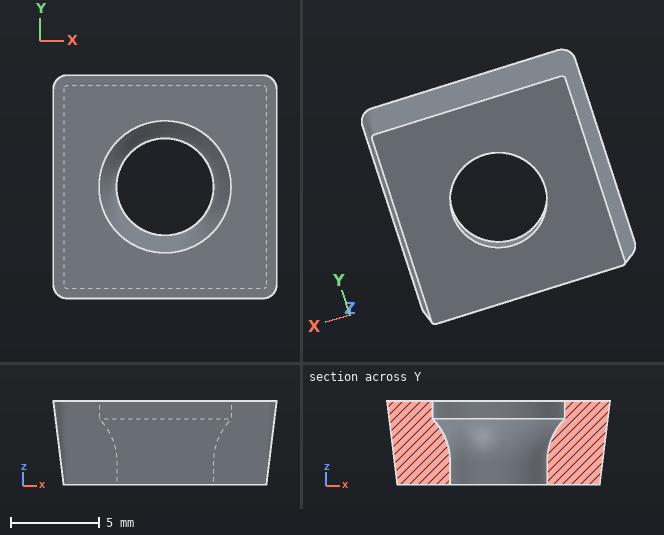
import cadquery as cq
import math

side = 12.7
thickness = 4.76
corner_radius = 0.8
clearance_angle = 7.0

bore_diameter = 5.5
recess_diameter = 7.5
recess_depth = 1.02
seat_depth = 2.4
bore_radius = bore_diameter / 2
recess_radius = recess_diameter / 2


def insert_body():
    """Square with rounded corners, tapering from the top face down to Z = 0."""
    outline = cq.Sketch().rect(side, side).vertices().fillet(corner_radius)
    return (
        cq.Workplane("XY", origin=(0, 0, thickness))
        .placeSketch(outline)
        .extrude(-thickness, taper=clearance_angle)
    )


def screw_hole():
    """Revolved cutter whose convex seat runs tangentially into the bore."""
    seat_width = recess_radius - bore_radius
    seat_radius = (seat_width**2 + seat_depth**2) / (2 * seat_width)
    seat_top = thickness - recess_depth
    seat_bottom = seat_top - seat_depth
    half_sweep = math.asin(seat_depth / seat_radius) / 2
    seat_middle = (
        bore_radius + seat_radius * (1 - math.cos(half_sweep)),
        seat_bottom + seat_radius * math.sin(half_sweep),
    )
    return (
        cq.Workplane("XZ")
        .moveTo(0, 0)
        .lineTo(bore_radius, 0)
        .lineTo(bore_radius, seat_bottom)
        .threePointArc(seat_middle, (recess_radius, seat_top))
        .lineTo(recess_radius, thickness)
        .lineTo(0, thickness)
        .close()
        .revolve(360, (0, 0), (0, 1))
    )


result = insert_body().cut(screw_hole())